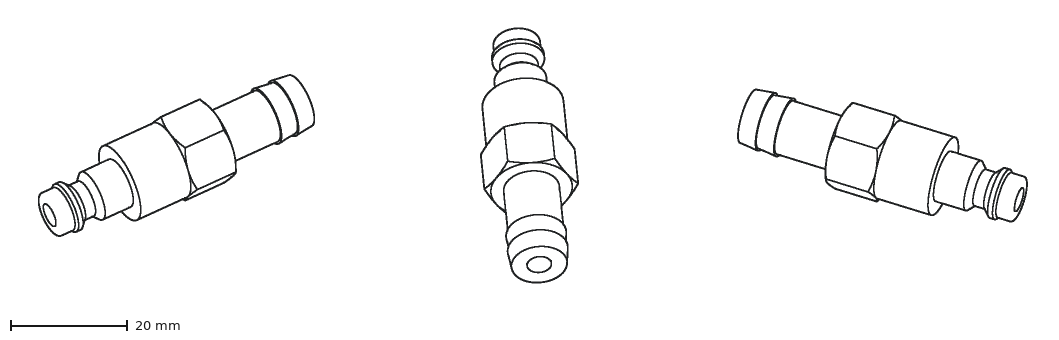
import cadquery as cq
import math

total_length = 50.0
bore_diameter = 4.2

stem_radius = 9.6 / 2
barb_radius = 10.4 / 2
barb_length = 3.4
barb_count = 2
nozzle_length = 17.0

hex_sides = 6
across_flats = 14.0
hex_length = 9.0
hex_chamfer_angle = 30.0
body_radius = across_flats / 2
body_length = 10.0

plug_radius = 9.0 / 2
groove_radius = 6.6 / 2
tip_radius = 8.1 / 2
shank_length = 5.6
groove_floor_length = 2.0
collar_length = 0.9
tip_fillet = 0.45

hose_end = total_length / 2
tip_end = -total_length / 2
hex_back = hose_end - nozzle_length
hex_front = hex_back - hex_length
body_front = hex_front - body_length
shank_front = body_front - shank_length
groove_depth = plug_radius - groove_radius
groove_back = shank_front - groove_depth
groove_front = groove_back - groove_floor_length
collar_back = groove_front - groove_depth
collar_front = collar_back - collar_length
tip_back = collar_front - (plug_radius - tip_radius)


def revolve_about_y(profile):
    """Turn a closed (radius, Y) profile a full turn about the Y axis."""
    return profile.close().revolve(360, (0, 0, 0), (0, 1, 0))


def make_nozzle():
    """Round stem with barbs that widen away from the hose end."""
    profile = cq.Workplane("XY").moveTo(0, hose_end).lineTo(stem_radius, hose_end)
    for index in range(barb_count):
        barb_back = hose_end - (index + 1) * barb_length
        profile = profile.lineTo(barb_radius, barb_back).lineTo(stem_radius, barb_back)
    profile = profile.lineTo(stem_radius, hex_back).lineTo(0, hex_back)
    return revolve_about_y(profile)


def make_hexagon():
    """Hexagon with flats at +Z and -Z, its corners turned down conically at both ends."""
    across_corners = across_flats / math.cos(math.pi / hex_sides)
    corner_radius = across_corners / 2
    chamfer_radial = corner_radius - body_radius
    chamfer_length = chamfer_radial * math.tan(math.radians(hex_chamfer_angle))
    prism = (
        cq.Workplane("XZ", origin=(0, hex_back, 0))
        .polygon(hex_sides, across_corners)
        .extrude(hex_length)
    )
    envelope = (
        cq.Workplane("XY")
        .moveTo(0, hex_back)
        .lineTo(body_radius, hex_back)
        .lineTo(corner_radius, hex_back - chamfer_length)
        .lineTo(corner_radius, hex_front + chamfer_length)
        .lineTo(body_radius, hex_front)
        .lineTo(0, hex_front)
    )
    return prism.intersect(revolve_about_y(envelope))


def make_body_and_plug():
    """Round body, then the plug with its 45 degree locking groove, collar and rounded tip."""
    fillet_mid = tip_fillet * (1 - math.cos(math.radians(45)))
    profile = (
        cq.Workplane("XY")
        .moveTo(0, hex_front)
        .lineTo(body_radius, hex_front)
        .lineTo(body_radius, body_front)
        .lineTo(plug_radius, body_front)
        .lineTo(plug_radius, shank_front)
        .lineTo(groove_radius, groove_back)
        .lineTo(groove_radius, groove_front)
        .lineTo(plug_radius, collar_back)
        .lineTo(plug_radius, collar_front)
        .lineTo(tip_radius, tip_back)
        .lineTo(tip_radius, tip_end + tip_fillet)
        .threePointArc(
            (tip_radius - fillet_mid, tip_end + fillet_mid),
            (tip_radius - tip_fillet, tip_end),
        )
        .lineTo(0, tip_end)
    )
    return revolve_about_y(profile)


def make_bore():
    """Straight bore through the whole length."""
    return (
        cq.Workplane("XZ", origin=(0, hose_end, 0))
        .circle(bore_diameter / 2)
        .extrude(total_length)
    )


result = make_nozzle().union(make_hexagon()).union(make_body_and_plug()).cut(make_bore())